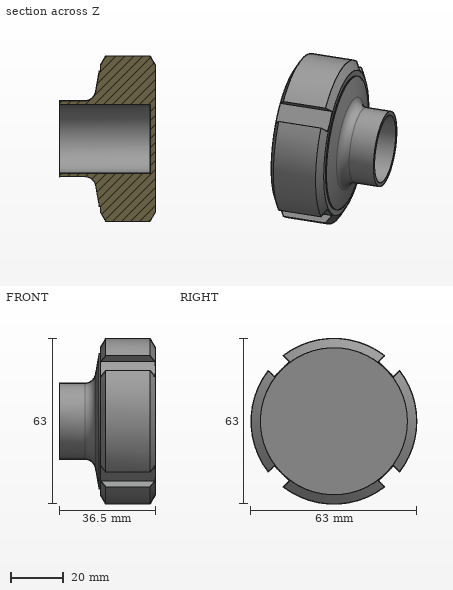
import cadquery as cq
import math

total_length = 36.5
nut_diameter = 63.0
nut_length = 21.0
nut_start = total_length - nut_length

chamfer_depth = 3.6
chamfer_angle = 30.0
chamfer_length = chamfer_depth * math.tan(math.radians(chamfer_angle))
slot_count = 4
slot_width = 8.0
slot_floor_radius = 28.0
first_slot_angle = 45.0

pipe_radius = 29.0 / 2
bore_radius = 26.0 / 2
pipe_length = 9.7
flange_radius = 51.5 / 2
cone_angle = math.radians(10.0)
neck_radius = 4.05
end_wall = 2.0


def nut_body():
    """Disc with the same long chamfer on both rims."""
    outer = nut_diameter / 2
    face = outer - chamfer_depth
    return (
        cq.Workplane("XY")
        .moveTo(nut_start, 0)
        .lineTo(nut_start, face)
        .lineTo(nut_start + chamfer_length, outer)
        .lineTo(total_length - chamfer_length, outer)
        .lineTo(total_length, face)
        .lineTo(total_length, 0)
        .close()
        .revolve(360, (0, 0, 0), (1, 0, 0))
    )


def neck_point(angle):
    """Point on the concave neck arc, turned by angle from its start on the pipe."""
    return (
        pipe_length + neck_radius * math.sin(angle),
        pipe_radius + neck_radius * (1 - math.cos(angle)),
    )


def pipe_and_flange():
    """Pipe flowing through a tangent neck into a shallow cone seated in the nut."""
    neck_sweep = math.pi / 2 - cone_angle
    neck_end = neck_point(neck_sweep)
    cone_end = neck_end[0] + (flange_radius - neck_end[1]) * math.tan(cone_angle)
    seat = nut_start + chamfer_length
    return (
        cq.Workplane("XY")
        .lineTo(0, pipe_radius)
        .lineTo(pipe_length, pipe_radius)
        .threePointArc(neck_point(neck_sweep / 2), neck_end)
        .lineTo(cone_end, flange_radius)
        .lineTo(seat, flange_radius)
        .lineTo(seat, 0)
        .close()
        .revolve(360, (0, 0, 0), (1, 0, 0))
    )


def spanner_slot(angle):
    """Flat-floored slot along the full nut length, at angle about the X axis."""
    slot_height = nut_diameter / 2
    return (
        cq.Workplane("XY")
        .box(nut_length, slot_width, slot_height, centered=(False, True, False))
        .translate((nut_start, 0, slot_floor_radius))
        .rotate((0, 0, 0), (1, 0, 0), angle)
    )


body = nut_body().union(pipe_and_flange())

for index in range(slot_count):
    body = body.cut(spanner_slot(first_slot_angle + index * 360 / slot_count))

bore = cq.Workplane("YZ").circle(bore_radius).extrude(total_length - end_wall)

result = body.cut(bore)